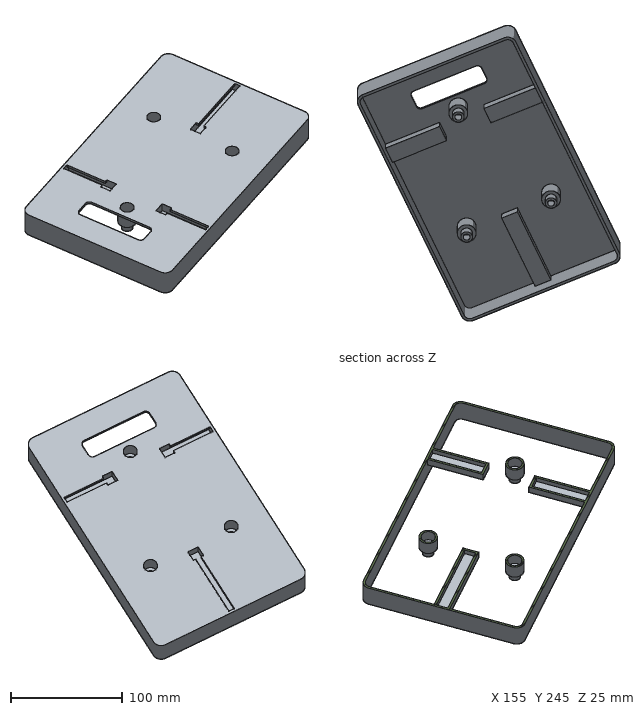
import cadquery as cq

WIDTH = 155.0
LENGTH = 245.0
HEIGHT = 25.0
WALL = 2.5
CORNER_RADIUS = 8.0
INNER_TOP = HEIGHT - WALL

WINDOW_WIDTH = 69.0
WINDOW_LENGTH = 19.0
WINDOW_RADIUS = 4.0
WINDOW_Y = -88.0

BOLT_HOLE_DIAMETER = 6.0
COUNTERBORE_DIAMETER = 12.4
POST_WALL = 2.25
POST_STEP_DEPTH = 17.0
COUNTERBORE_DEPTH = POST_STEP_DEPTH - WALL
UPPER_POST_X = 41.5
UPPER_POST_Y = 44.5
LOWER_POST_Y = -67.3
POST_POSITIONS = [
    (-UPPER_POST_X, UPPER_POST_Y),
    (UPPER_POST_X, UPPER_POST_Y),
    (0, LOWER_POST_Y),
]

SLOT_WIDTH = 5.5
ENTRY_WIDTH = 10.5
ENTRY_LENGTH = 10.0
CHANNEL_DEPTH = 8.5
TOP_HANGER_LENGTH = 71.5
SIDE_HANGER_LENGTH = 50.7
SIDE_HANGER_Y = -52.0
HANGERS = [
    (0, LENGTH / 2 - WALL, -90, TOP_HANGER_LENGTH),
    (-WIDTH / 2 + WALL, SIDE_HANGER_Y, 0, SIDE_HANGER_LENGTH),
    (WIDTH / 2 - WALL, SIDE_HANGER_Y, 180, SIDE_HANGER_LENGTH),
]


def block(x_start, x_end, width, z_bottom, z_top):
    """Box along X, centred on Y = 0."""
    return cq.Workplane("XY").box(
        x_end - x_start, width, z_top - z_bottom, centered=(False, True, False)
    ).translate((x_start, 0, z_bottom))


def cylinder(diameter, z_bottom, z_top):
    return cq.Workplane("XY").workplane(offset=z_bottom).circle(diameter / 2).extrude(z_top - z_bottom)


def make_shell():
    outer = cq.Workplane("XY").rect(WIDTH, LENGTH).extrude(HEIGHT)
    outer = outer.edges("|Z").fillet(CORNER_RADIUS)
    cavity = cq.Workplane("XY").rect(WIDTH - 2 * WALL, LENGTH - 2 * WALL).extrude(INNER_TOP)
    cavity = cavity.edges("|Z").fillet(CORNER_RADIUS - WALL)
    return outer.cut(cavity)


def make_window():
    window = cq.Workplane("XY").box(WINDOW_WIDTH, WINDOW_LENGTH, HEIGHT, centered=(True, True, False))
    return window.edges("|Z").fillet(WINDOW_RADIUS).translate((0, WINDOW_Y, 0))


def make_post():
    step_z = HEIGHT - POST_STEP_DEPTH
    upper = cylinder(COUNTERBORE_DIAMETER + 2 * POST_WALL, step_z, HEIGHT)
    lower = cylinder(BOLT_HOLE_DIAMETER + 2 * POST_WALL, 0, step_z)
    return upper.union(lower)


def make_post_bore():
    bolt_hole = cylinder(BOLT_HOLE_DIAMETER, 0, HEIGHT)
    counterbore = cylinder(COUNTERBORE_DIAMETER, HEIGHT - COUNTERBORE_DEPTH, HEIGHT)
    return bolt_hole.union(counterbore)


def make_hanger_housing(length):
    """Closed box around the channel; its outer end merges with the shell wall."""
    floor_z = HEIGHT - CHANNEL_DEPTH
    return block(-WALL / 2, length + WALL, ENTRY_WIDTH + 2 * WALL, floor_z - WALL, HEIGHT)


def make_hanger_cavity(length):
    channel = block(0, length, ENTRY_WIDTH, HEIGHT - CHANNEL_DEPTH, INNER_TOP)
    slot = block(0, length, SLOT_WIDTH, INNER_TOP, HEIGHT)
    entry = block(length - ENTRY_LENGTH, length, ENTRY_WIDTH, INNER_TOP, HEIGHT)
    return channel.union(slot).union(entry)


def place_hanger(shape, x, y, angle):
    return shape.rotate((0, 0, 0), (0, 0, 1), angle).translate((x, y, 0))


result = make_shell()

for x, y in POST_POSITIONS:
    result = result.union(make_post().translate((x, y, 0)))
for x, y, angle, length in HANGERS:
    result = result.union(place_hanger(make_hanger_housing(length), x, y, angle))

for x, y in POST_POSITIONS:
    result = result.cut(make_post_bore().translate((x, y, 0)))
for x, y, angle, length in HANGERS:
    result = result.cut(place_hanger(make_hanger_cavity(length), x, y, angle))
result = result.cut(make_window())